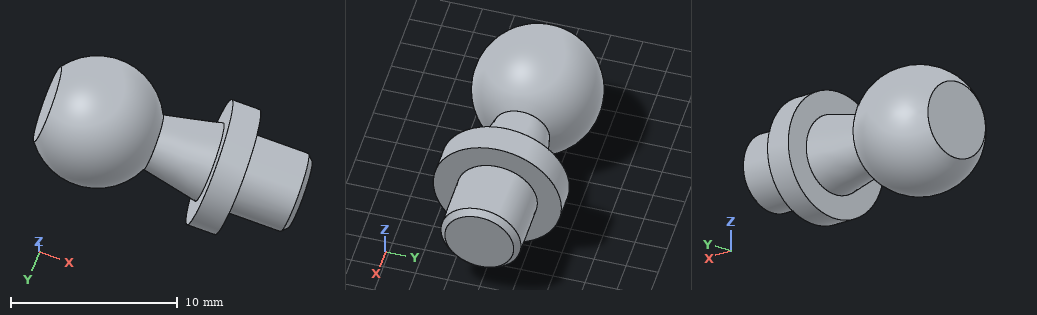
import cadquery as cq
import math

ball_radius = 8.0 / 2
flat_offset = 3.2
neck_radius = 1.75
neck_base_radius = 5.0 / 2
collar_radius = 8.0 / 2
collar_start = 7.2
collar_thickness = 1.8
shank_radius = 5.0 / 2
shank_length = 4.0
chamfer_face_width = 0.5

flat_radius = math.sqrt(ball_radius**2 - flat_offset**2)
neck_start = math.sqrt(ball_radius**2 - neck_radius**2)
collar_end = collar_start + collar_thickness
shank_end = collar_end + shank_length
shank_chamfer = chamfer_face_width / math.sqrt(2)


def turned_body():
    """Revolve the half profile (distance along X, radius) about the X axis."""
    profile = (
        cq.Workplane("XY")
        .moveTo(-flat_offset, 0)
        .lineTo(-flat_offset, flat_radius)
        .threePointArc((0, ball_radius), (neck_start, neck_radius))
        .lineTo(collar_start, neck_base_radius)
        .lineTo(collar_start, collar_radius)
        .lineTo(collar_end, collar_radius)
        .lineTo(collar_end, shank_radius)
        .lineTo(shank_end - shank_chamfer, shank_radius)
        .lineTo(shank_end, shank_radius - shank_chamfer)
        .lineTo(shank_end, 0)
        .close()
    )
    return profile.revolve(axisStart=(0, 0, 0), axisEnd=(1, 0, 0))


result = turned_body()